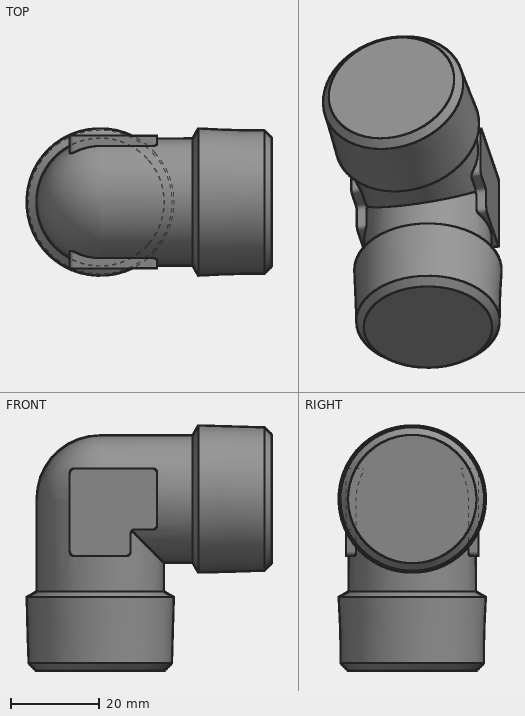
import cadquery as cq

overall_length = 55.75
collar_diameter = 33.5
tube_diameter = 29.0

collar_length = 18.0
shoulder_length = 1.3
tip_diameter = 32.6
end_chamfer = 1.75

pad_span = 30.1
pad_half_width = 6.9
pad_reach = 12.95
pad_corner_radius = 1.0

tube_radius = tube_diameter / 2
arm_length = overall_length - collar_diameter / 2
collar_start = arm_length - collar_length


def make_arm():
    """Revolve one arm about Z, running down from the elbow centre."""
    shoulder_end = collar_start + shoulder_length
    tip_radius = tip_diameter / 2
    profile = [
        (0, 0),
        (tube_radius, 0),
        (tube_radius, -collar_start),
        (collar_diameter / 2, -shoulder_end),
        (tip_radius, -(arm_length - end_chamfer)),
        (tip_radius - end_chamfer, -arm_length),
        (0, -arm_length),
    ]
    return cq.Workplane("XZ").polyline(profile).close().revolve(360, (0, 0, 0), (0, 1, 0))


def make_pads():
    """Extrude the L outline through the elbow so that both side pads stand out."""
    outline = [
        (-pad_half_width, pad_half_width),
        (pad_reach, pad_half_width),
        (pad_reach, -pad_half_width),
        (pad_half_width, -pad_half_width),
        (pad_half_width, -pad_reach),
        (-pad_half_width, -pad_reach),
    ]
    pads = cq.Workplane("XZ").polyline(outline).close().extrude(pad_span / 2, both=True)
    return pads.edges("|Y").fillet(pad_corner_radius)


lower_arm = make_arm()
side_arm = make_arm().rotate((0, 0, 0), (0, 1, 0), -90)
ball = cq.Workplane("XY").sphere(tube_radius)

result = lower_arm.union(side_arm).union(ball).union(make_pads())